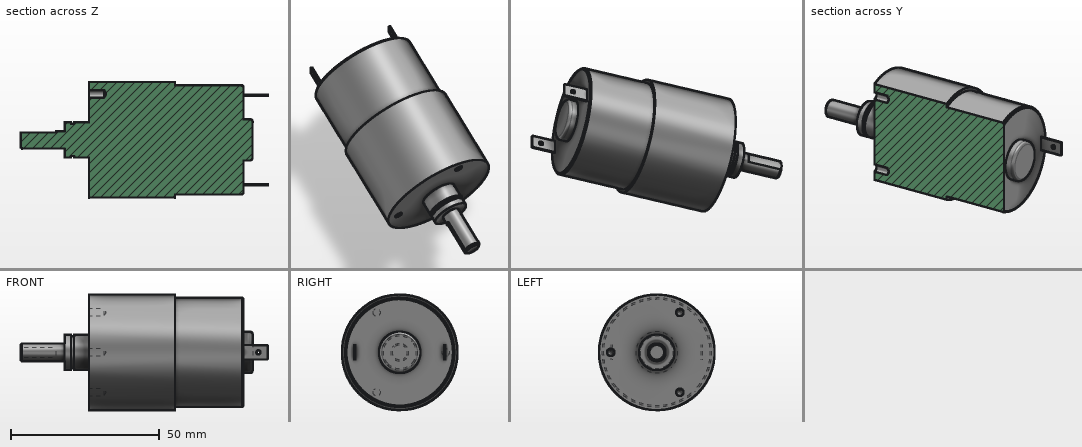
import cadquery as cq
import math


gearbox_diameter = 39.0
gearbox_length = 29.0
motor_diameter = 36.8
motor_end = 52.0
motor_edge_chamfer = 0.5

rear_boss_diameter = 14.0
rear_boss_length = 3.1
rear_boss_fillet = 1.0

bushing_diameter = 12.0
bushing_length = 8.2
groove_diameter = 11.0
groove_width = 1.0
groove_offset = 5.0

shaft_diameter = 6.0
shaft_tip_distance = 23.0
shaft_tip_chamfer = 0.5
flat_height = 2.5
flat_length = 12.0

hole_count = 3
hole_diameter = 2.5
hole_circle_radius = 15.5
hole_depth = 5.0
drill_point_angle = 118.0

terminal_spacing = 30.2
terminal_thickness = 0.5
terminal_width = 4.8
terminal_length = 8.2
terminal_corner_chamfer = 0.3
terminal_hole_diameter = 1.3
terminal_hole_from_tip = 3.2


def cylinder_along_x(diameter, start, end):
    """Solid cylinder on the motor axis between two X positions."""
    return cq.Workplane("YZ", origin=(start, 0, 0)).circle(diameter / 2).extrude(end - start)


def make_housing():
    gearbox = cylinder_along_x(gearbox_diameter, 0, gearbox_length)
    motor = cylinder_along_x(motor_diameter, gearbox_length, motor_end)
    motor = motor.faces(">X").edges().chamfer(motor_edge_chamfer)
    boss = cylinder_along_x(rear_boss_diameter, motor_end, motor_end + rear_boss_length)
    boss = boss.faces(">X").edges().fillet(rear_boss_fillet)
    return gearbox.union(motor).union(boss)


def make_bushing():
    groove_start = -groove_offset - groove_width
    front_collar = cylinder_along_x(bushing_diameter, -bushing_length, groove_start)
    groove_core = cylinder_along_x(groove_diameter, groove_start, -groove_offset)
    rear_collar = cylinder_along_x(bushing_diameter, -groove_offset, 0)
    return front_collar.union(groove_core).union(rear_collar)


def make_shaft():
    shaft = cylinder_along_x(shaft_diameter, -shaft_tip_distance, -bushing_length)
    shaft = shaft.faces("<X").edges().chamfer(shaft_tip_chamfer)
    flat_cutter = cq.Workplane("XY").box(
        flat_length, shaft_diameter, shaft_diameter, centered=(False, False, True)
    )
    return shaft.cut(flat_cutter.translate((-shaft_tip_distance, flat_height, 0)))


def make_mounting_hole(angle):
    """Drilled hole with a conical bottom; the angle is measured from +Y towards +Z."""
    radius = hole_diameter / 2
    point_depth = radius / math.tan(math.radians(drill_point_angle / 2))
    profile = [(0, 0), (0, radius), (hole_depth, radius), (hole_depth + point_depth, 0)]
    drill = cq.Workplane("XY").polyline(profile).close().revolve(360, (0, 0, 0), (1, 0, 0))
    return drill.translate((0, hole_circle_radius, 0)).rotate((0, 0, 0), (1, 0, 0), angle)


def make_terminal(side):
    """Flat tab with a wire hole; side is +1 for +Y and -1 for -Y."""
    blade = cq.Workplane("XY").box(
        terminal_length, terminal_thickness, terminal_width, centered=(False, True, True)
    )
    blade = blade.faces(">X").edges("|Y").chamfer(terminal_corner_chamfer)
    wire_hole = (
        cq.Workplane("XZ")
        .center(terminal_length - terminal_hole_from_tip, 0)
        .circle(terminal_hole_diameter / 2)
        .extrude(terminal_thickness, both=True)
    )
    return blade.cut(wire_hole).translate((motor_end, side * terminal_spacing / 2, 0))


result = make_housing().union(make_bushing()).union(make_shaft())
for index in range(hole_count):
    result = result.cut(make_mounting_hole(index * 360 / hole_count))
for side in (-1, 1):
    result = result.union(make_terminal(side))